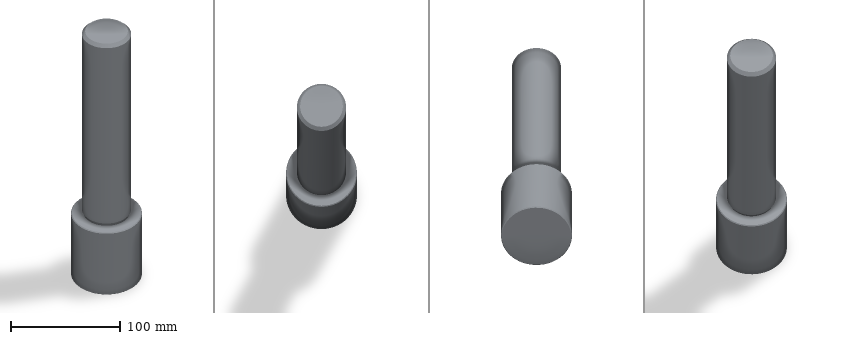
import cadquery as cq

total_length = 275.0
head_diameter = 65.0
head_length = 70.0
head_chamfer = 0.8
shank_diameter = 45.0
tip_chamfer = 3.0
neck_diameter = 42.0
neck_length = 3.5

head_radius = head_diameter / 2
shank_radius = shank_diameter / 2
neck_radius = neck_diameter / 2
bottom_z = -total_length / 2
head_top_z = bottom_z + head_length
neck_top_z = head_top_z + neck_length
shank_length = total_length - head_length - neck_length


def cylinder(radius, length, base_z):
    """Solid cylinder on the Z axis, rising from base_z."""
    return cq.Workplane("XY").workplane(offset=base_z).circle(radius).extrude(length)


head = cylinder(head_radius, head_length, bottom_z).edges().chamfer(head_chamfer)

neck = cylinder(neck_radius, neck_length, head_top_z)

shank = cylinder(shank_radius, shank_length, neck_top_z).faces(">Z").edges().chamfer(tip_chamfer)

result = head.union(neck).union(shank)